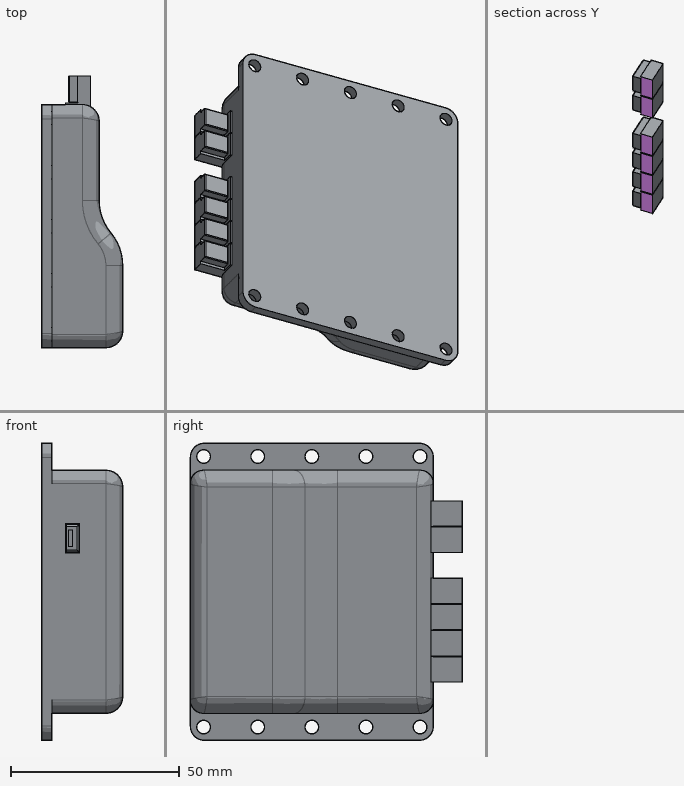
import cadquery as cq
import math

PLATE_HEIGHT = 88.0
WIDTH = 72.0
PLATE_THICKNESS = 3.0
PLATE_CORNER_RADIUS = 4.2
HOLE_DIAMETER = 4.0
HOLE_INSET = 4.0
HOLES_PER_ROW = 5

CASE_HEIGHT = 72.0
DEEP_X = 24.0
SHALLOW_X = 17.1
CASE_CORNER_RADIUS = 4.0
CASE_EDGE_RADIUS = 5.0
STEP_RADIUS = 15.0
STEP_TOP_Y = 7.6

CELL_PITCH = 7.7
CELL_GAP = 0.2
CONNECTOR_BANKS = ((19.3, 2), (-11.35, 4))
CONNECTOR_REACH = 8.5
CONNECTOR_EMBED = 3.5
FOOT_X = 7.0
FOOT_REACH = 0.5
BUTTON_X = 7.9
BODY_X = 10.65
CONNECTOR_END_X = 14.5
BUTTON_INSET = 0.9
BUTTON_CLEARANCE = 0.2
BUTTON_CHAMFER = 0.3

SOCKET_Z = 15.8
POCKET_X = 7.0
POCKET_WIDTH = 4.1
POCKET_HEIGHT = 8.6
POCKET_DEPTH = 2.3
PLUG_X = 7.3
PLUG_BASE_WIDTH = 3.7
PLUG_BASE_HEIGHT = 8.1
PLUG_FACE_WIDTH = 3.2
PLUG_FACE_HEIGHT = 6.95
PLUG_FACE_DEPTH = 1.7
SLOT_X = 7.9
SLOT_WIDTH = 1.1
SLOT_HEIGHT = 4.75
SLOT_DEPTH = 0.9

HALF_WIDTH = WIDTH / 2


def box_between(x_range, y_range, z_range):
    """Axis-aligned box given by its lower and upper limits."""
    sizes = [high - low for low, high in (x_range, y_range, z_range)]
    corner = (x_range[0], y_range[0], z_range[0])
    return cq.Workplane("XY").box(*sizes, centered=False).translate(corner)


def make_plate():
    """Rounded plate with a row of holes along its top and bottom edges."""
    hole_y_pitch = (WIDTH - 2 * HOLE_INSET) / (HOLES_PER_ROW - 1)
    hole_z_pitch = PLATE_HEIGHT - 2 * HOLE_INSET
    return (
        cq.Workplane("YZ")
        .rect(WIDTH, PLATE_HEIGHT)
        .extrude(PLATE_THICKNESS)
        .edges("|X")
        .fillet(PLATE_CORNER_RADIUS)
        .faces("<X")
        .workplane(origin=(0, 0, 0))
        .rarray(hole_y_pitch, hole_z_pitch, HOLES_PER_ROW, 2)
        .hole(HOLE_DIAMETER)
    )


def make_case():
    """Round-edged case whose top steps up smoothly towards -Y."""
    half_rise = (DEEP_X - SHALLOW_X) / 2
    half_run = math.sqrt(STEP_RADIUS**2 - (STEP_RADIUS - half_rise) ** 2)
    step_middle = ((SHALLOW_X + DEEP_X) / 2, STEP_TOP_Y - half_run)
    step_bottom_y = STEP_TOP_Y - 2 * half_run
    body = (
        cq.Workplane("XY")
        .workplane(offset=-CASE_HEIGHT / 2)
        .moveTo(0, -HALF_WIDTH)
        .lineTo(0, HALF_WIDTH)
        .lineTo(SHALLOW_X, HALF_WIDTH)
        .lineTo(SHALLOW_X, STEP_TOP_Y)
        .tangentArcPoint(step_middle, relative=False)
        .tangentArcPoint((DEEP_X, step_bottom_y), relative=False)
        .lineTo(DEEP_X, -HALF_WIDTH)
        .close()
        .extrude(CASE_HEIGHT)
    )
    body = body.edges("|X").fillet(CASE_CORNER_RADIUS)
    rim_edge = body.faces(">X").edges("|Y").edges(">Z")
    return rim_edge.fillet(CASE_EDGE_RADIUS)


def make_connector_cell(center_z):
    """One cell: a foot against the wall, a body, and a button facing -X."""
    half_height = (CELL_PITCH - CELL_GAP) / 2
    cell_z = (center_z - half_height, center_z + half_height)
    button_z = (cell_z[0] + BUTTON_INSET, cell_z[1] - BUTTON_INSET)
    inner_y = HALF_WIDTH - CONNECTOR_EMBED
    outer_y = HALF_WIDTH + CONNECTOR_REACH
    foot_y = HALF_WIDTH + FOOT_REACH
    foot = box_between((FOOT_X, BODY_X), (inner_y, foot_y), cell_z)
    body = box_between((BODY_X, CONNECTOR_END_X), (inner_y, outer_y), cell_z)
    button = box_between((BUTTON_X, BODY_X), (foot_y + BUTTON_CLEARANCE, outer_y), button_z)
    button = button.faces("<X").edges().chamfer(BUTTON_CHAMFER)
    return body.union(foot).union(button)


def socket_box(low_x, width, height, low_depth, high_depth):
    """Box centred on the socket's height, between two depths below the -Y wall."""
    return box_between(
        (low_x, low_x + width),
        (low_depth - HALF_WIDTH, high_depth - HALF_WIDTH),
        (SOCKET_Z - height / 2, SOCKET_Z + height / 2),
    )


def make_socket():
    """The empty space of the socket: the pocket less its plug, plus the slot in the plug."""
    pocket = socket_box(POCKET_X, POCKET_WIDTH, POCKET_HEIGHT, 0, POCKET_DEPTH)
    slot = socket_box(SLOT_X, SLOT_WIDTH, SLOT_HEIGHT, PLUG_FACE_DEPTH, PLUG_FACE_DEPTH + SLOT_DEPTH)
    plug = (
        cq.Workplane("XZ", origin=(PLUG_X, POCKET_DEPTH - HALF_WIDTH, SOCKET_Z))
        .center(PLUG_BASE_WIDTH / 2, 0)
        .rect(PLUG_BASE_WIDTH, PLUG_BASE_HEIGHT)
        .workplane(offset=POCKET_DEPTH - PLUG_FACE_DEPTH)
        .center((PLUG_FACE_WIDTH - PLUG_BASE_WIDTH) / 2, 0)
        .rect(PLUG_FACE_WIDTH, PLUG_FACE_HEIGHT)
        .loft(ruled=True)
    )
    return pocket.cut(plug).union(slot)


result = make_plate().union(make_case())
for bank_center_z, cell_count in CONNECTOR_BANKS:
    for index in range(cell_count):
        offset = (index - (cell_count - 1) / 2) * CELL_PITCH
        result = result.union(make_connector_cell(bank_center_z + offset))
result = result.cut(make_socket())